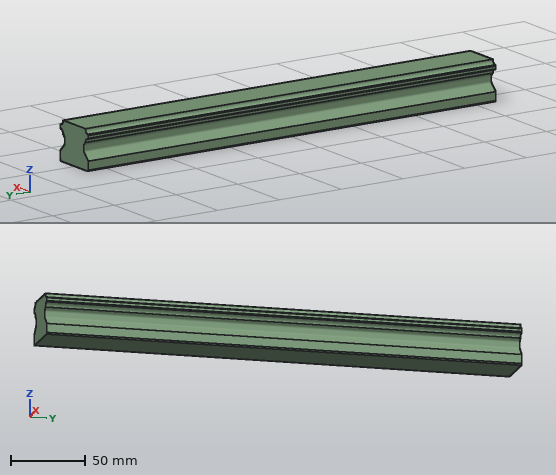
import cadquery as cq
import math

length = 330.0
width = 34.0
height = 29.0

base_side_top = 7.3
base_bevel = 1.0

waist_width = 23.0
waist_top = 17.5
waist_fillet = 2.0

head_width = 27.0
lip_bottom = 23.0
lip_top = 25.0
lip_bevel = 0.5
lower_groove_bottom = 20.0
groove_radius = 3.0

half_width = width / 2
half_waist = waist_width / 2
half_head = head_width / 2
waist_bottom = base_side_top + half_width - half_waist
head_slope_top = waist_top + half_head - half_waist


def groove_midpoint(start, end):
    """Middle of a raceway arc; going up the right side, it bows towards the centre plane."""
    chord = math.dist(start, end)
    sag = groove_radius - math.sqrt(groove_radius**2 - (chord / 2) ** 2)
    mid_x = (start[0] + end[0]) / 2
    mid_z = (start[1] + end[1]) / 2
    run = end[0] - start[0]
    rise = end[1] - start[1]
    return (mid_x - sag * rise / chord, mid_z + sag * run / chord)


def half_rail():
    """Right half of the rail, cut at the centre plane."""
    lower_groove_start = (half_head, lower_groove_bottom)
    lower_groove_end = (half_width - lip_bevel, lip_bottom - lip_bevel)
    upper_groove_start = (half_width - lip_bevel, lip_top + lip_bevel)
    upper_groove_end = (half_head, height)
    section = (
        cq.Workplane("XZ")
        .lineTo(half_width - base_bevel, 0)
        .lineTo(half_width, base_bevel)
        .lineTo(half_width, base_side_top)
        .lineTo(half_waist, waist_bottom)
        .lineTo(half_waist, waist_top)
        .lineTo(half_head, head_slope_top)
        .lineTo(*lower_groove_start)
        .threePointArc(groove_midpoint(lower_groove_start, lower_groove_end), lower_groove_end)
        .lineTo(half_width, lip_bottom)
        .lineTo(half_width, lip_top)
        .lineTo(*upper_groove_start)
        .threePointArc(groove_midpoint(upper_groove_start, upper_groove_end), upper_groove_end)
        .lineTo(0, height)
        .close()
    )
    solid = section.extrude(length / 2, both=True)
    for corner_z in (waist_bottom, waist_top):
        corner = cq.selectors.NearestToPointSelector((half_waist, 0, corner_z))
        solid = solid.edges("|Y").edges(corner).fillet(waist_fillet)
    return solid


right_half = half_rail()
result = right_half.union(right_half.mirror("YZ")).clean()